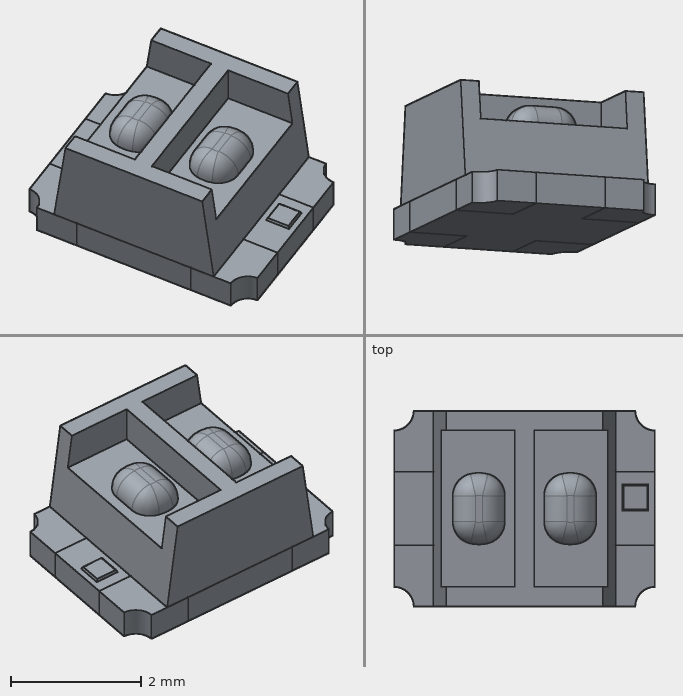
import cadquery as cq
import math

BOARD_LENGTH = 4.0
BOARD_WIDTH = 3.0
BOARD_HEIGHT = 0.48
PAD_LENGTH = 1.0
PAD_WIDTH = 0.935
NOTCH_RADIUS = 0.3

HOUSING_BOTTOM_LENGTH = 2.8
HOUSING_TOP_LENGTH = 2.4
TOTAL_HEIGHT = 2.0
POCKET_WIDTH = 2.4
POCKET_FLOOR_Z = 1.4
DIVIDER_THICKNESS = 0.3

LENS_SPACING = 1.4
LENS_WIDTH = 0.8
LENS_HEIGHT = 0.35
LENS_STRAIGHT_LENGTH = 0.39
LENS_CORNER_RADIUS = 0.35
LENS_DOME_RADIUS = 0.345
LENS_CORNER_SWEEP = math.radians(76.7)

MARK_BOTTOM_SIZE = 0.4
MARK_TOP_SIZE = 0.36
MARK_HEIGHT = 0.04
MARK_X = 1.7
MARK_Y = 0.17


def make_pad(x_side, y_side):
    """Corner block with a quarter-round notch at its outer vertical edge."""
    corner_x = x_side * BOARD_LENGTH / 2
    corner_y = y_side * BOARD_WIDTH / 2
    pad_x = corner_x - x_side * PAD_LENGTH / 2
    pad_y = corner_y - y_side * PAD_WIDTH / 2
    block = cq.Workplane().center(pad_x, pad_y).rect(PAD_LENGTH, PAD_WIDTH).extrude(BOARD_HEIGHT)
    notch = cq.Workplane().center(corner_x, corner_y).circle(NOTCH_RADIUS).extrude(BOARD_HEIGHT)
    return block.cut(notch)


def make_board_core():
    """Cross that fills the space between the four pads."""
    long_bar = cq.Workplane().rect(BOARD_LENGTH, BOARD_WIDTH - 2 * PAD_WIDTH).extrude(BOARD_HEIGHT)
    cross_bar = cq.Workplane().rect(BOARD_LENGTH - 2 * PAD_LENGTH, BOARD_WIDTH).extrude(BOARD_HEIGHT)
    return long_bar.union(cross_bar)


def make_housing():
    """Trapezoid prism with one pocket on each side of the central divider."""
    body = (
        cq.Workplane("XZ")
        .moveTo(-HOUSING_BOTTOM_LENGTH / 2, BOARD_HEIGHT)
        .lineTo(HOUSING_BOTTOM_LENGTH / 2, BOARD_HEIGHT)
        .lineTo(HOUSING_TOP_LENGTH / 2, TOTAL_HEIGHT)
        .lineTo(-HOUSING_TOP_LENGTH / 2, TOTAL_HEIGHT)
        .close()
        .extrude(BOARD_WIDTH / 2, both=True)
    )
    pocket_length = (HOUSING_BOTTOM_LENGTH - DIVIDER_THICKNESS) / 2
    pocket_offset = (DIVIDER_THICKNESS + pocket_length) / 2
    pockets = (
        cq.Workplane()
        .workplane(offset=POCKET_FLOOR_Z)
        .pushPoints([(-pocket_offset, 0), (pocket_offset, 0)])
        .rect(pocket_length, POCKET_WIDTH)
        .extrude(TOTAL_HEIGHT - POCKET_FLOOR_Z)
    )
    return body.cut(pockets)


def make_lens(x_center):
    """Dome with straight sides and three tangent arcs at each end."""
    half_width = LENS_WIDTH / 2
    half_straight = LENS_STRAIGHT_LENGTH / 2
    corner_x = half_width - LENS_CORNER_RADIUS

    def corner_point(angle):
        return (
            corner_x + LENS_CORNER_RADIUS * math.cos(angle),
            half_straight + LENS_CORNER_RADIUS * math.sin(angle),
        )

    mid_x, mid_y = corner_point(LENS_CORNER_SWEEP / 2)
    join_x, join_y = corner_point(LENS_CORNER_SWEEP)

    end_radius = LENS_CORNER_RADIUS + corner_x / math.cos(LENS_CORNER_SWEEP)
    end_y = half_straight - corner_x * math.tan(LENS_CORNER_SWEEP) + end_radius

    return (
        cq.Workplane()
        .workplane(offset=POCKET_FLOOR_Z)
        .moveTo(half_width, -half_straight)
        .lineTo(half_width, half_straight)
        .threePointArc((mid_x, mid_y), (join_x, join_y))
        .threePointArc((0, end_y), (-join_x, join_y))
        .threePointArc((-mid_x, mid_y), (-half_width, half_straight))
        .lineTo(-half_width, -half_straight)
        .threePointArc((-mid_x, -mid_y), (-join_x, -join_y))
        .threePointArc((0, -end_y), (join_x, -join_y))
        .threePointArc((mid_x, -mid_y), (half_width, -half_straight))
        .close()
        .extrude(LENS_HEIGHT)
        .faces(">Z")
        .edges()
        .fillet(LENS_DOME_RADIUS)
        .translate((x_center, 0, 0))
    )


def make_mark():
    """Square plate whose sides taper inward toward the top."""
    return (
        cq.Workplane()
        .workplane(offset=BOARD_HEIGHT)
        .center(MARK_X, MARK_Y)
        .rect(MARK_BOTTOM_SIZE, MARK_BOTTOM_SIZE)
        .workplane(offset=MARK_HEIGHT)
        .rect(MARK_TOP_SIZE, MARK_TOP_SIZE)
        .loft(ruled=True)
    )


board_core = make_board_core()
pads = [make_pad(x_side, y_side) for x_side in (-1, 1) for y_side in (-1, 1)]
housing = make_housing()
lenses = [make_lens(side * LENS_SPACING / 2) for side in (-1, 1)]
mark = make_mark()

result = cq.Compound.makeCompound(
    [
        board_core.val(),
        *[pad.val() for pad in pads],
        housing.val(),
        *[lens.val() for lens in lenses],
        mark.val(),
    ]
)